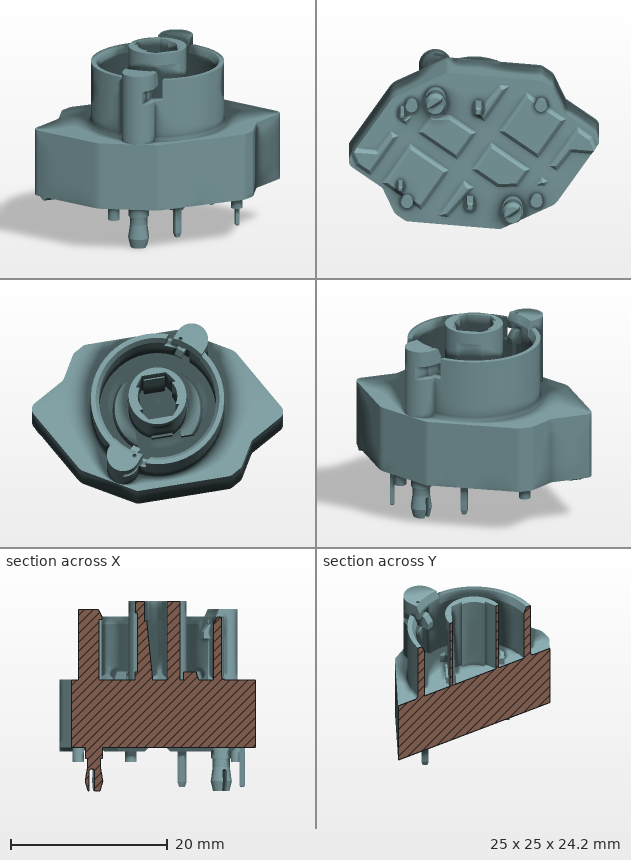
import cadquery as cq
import math

BODY_HALF = 12.5
SHOULDER_X = 10.65
FLAT_NEAR = 1.82
FLAT_FAR = 3.6
BEVEL_START_X = 0.25
BODY_HEIGHT = 8.7
EDGE_RADIUS = 1.0
BEVEL_RADIUS = 2.0
SKEW = 30.0

COLLAR_RADIUS = 8.5
COLLAR_BORE = 7.45
COLLAR_TOP = 16.7
LEAD_IN = 0.45
LEAD_IN_HEIGHT = 0.9
COLLAR_FILLET = 0.45

POST_X = 3.02
POST_Y = 8.12
POST_RADIUS = 2.1
POST_TOP = 17.7
POST_HOLE_DIAMETER = 0.5
POST_HOLE_DEPTH = 1.05
POST_HOLE_X = 4.0
POST_HOLE_Y = 7.08
WINDOW_OFFSET = 1.0
WINDOW_BOTTOM = 13.95
WINDOW_TOP = 15.7
RIM_NOTCH_WIDTH = 0.88
LATCH_TIP = 6.42
LATCH_SHOULDER = 7.1
LATCH_SIDES = (0.22, 1.22)
LATCH_DROP = 0.88
LATCH_GAP = 0.65
LATCH_SLOT_DEPTH = 0.5

TUBE_DIAMETER = 7.38
TUBE_TOP = 18.7
TUBE_BORE_RADIUS = 2.52
POCKET_INNER = (1.42, 2.08)
POCKET_PEAK = (1.5, 2.58)
POCKET_OUTER = (2.85, 1.58)
FLAT_DISTANCE = 3.32
FLAT_TOP = 17.2
FOOT_HALF_LENGTH = 3.62
FOOT_HALF_WIDTH = 1.35
CONTACT_HALF_WIDTH = 1.38
CONTACT_HEIGHT = 7.5
CONTACT_TOP_FACE = 2.7
CONTACT_FOOT_FACE = 2.32

ARC_INNER = 4.0
ARC_OUTER = 5.72
ARC_SLOPE = 0.28
ARC_HEIGHT = 1.0
ARC_LEFT = -4.2
ARC_RIGHT = 3.98
ARC_LEFT_BASE = 3.28
ARC_RIGHT_BASE = 2.4

PAD_HEIGHT = 0.5
PAD_SLOPE = 45.0
PAD_HALF_OUTLINE = [
    (-10.15, 0),
    (-10.15, -11.25),
    (-8.85, -13.5),
    (-7.0, -10.3),
    (-1.5, -10.0),
    (4.0, -2.75),
    (9.0, -2.25),
]
CENTRE_CHANNEL = 1.12
CLIP_CHANNEL = 0.88
PEG_DIAMETER = 1.5
PEG_LENGTH = 1.85
PEG_CENTRES = [(0.55, -10.1), (10.05, 3.4)]

CLIP_SHOULDER_DIAMETER = 2.6
CLIP_NECK_DIAMETER = 2.2
CLIP_BULGE_DIAMETER = 2.7
CLIP_TIP_DIAMETER = 2.1
CLIP_SHOULDER_Z = -1.4
CLIP_NECK_Z = -2.45
CLIP_BULGE_Z = -4.25
CLIP_TIP_Z = -5.5
SLIT_WIDTH = 0.6
SLIT_TOP_Z = -2.7
SLIT_ANGLE = 22.0

PIN_LENGTH = 5.0
POWER_PIN_RADIUS = 6.25
POWER_PIN_SIZE = (0.9, 0.8)
POWER_PIN_TIP = (0.15, 0.6)
SIGNAL_PIN_CENTRES = [(8.55, 5.5), (0.55, 10.8)]
SIGNAL_PIN_SIZE = (0.5, 0.5)
SIGNAL_PIN_TIP = (0.08, 0.15)

AXIS_Z = (0, 0, 1)
POST_DISTANCE = math.hypot(POST_X, POST_Y)
POWER_PIN_CENTRE = (
    POWER_PIN_RADIUS * math.cos(math.radians(SKEW)),
    -POWER_PIN_RADIUS * math.sin(math.radians(SKEW)),
)
POST_ANGLE = math.degrees(math.atan2(POST_Y, -POST_X))


def half_turn_pair(shape):
    """The shape and its copy turned half a turn about the Z axis."""
    return shape.union(shape.rotate((0, 0, 0), AXIS_Z, 180))


def block(x_range, y_range, z_range):
    """Box given by its limits along each axis."""
    size = [high - low for low, high in (x_range, y_range, z_range)]
    return cq.Workplane("XY").box(*size, centered=False).translate((x_range[0], y_range[0], z_range[0]))


def skewed(shape):
    """Turn a shape into line with the contacts."""
    return shape.rotate((0, 0, 0), AXIS_Z, -SKEW)


def at_post(shape):
    """Turn a shape so that its +X axis runs from the part axis through the post on the +Y side."""
    return shape.rotate((0, 0, 0), AXIS_Z, POST_ANGLE)


def body_block():
    steep = math.tan(math.radians(90 - SKEW))
    gentle = math.tan(math.radians(SKEW))
    notch_y = FLAT_FAR + steep * (BODY_HALF - SHOULDER_X)
    corner_x = (steep * BODY_HALF - FLAT_NEAR - BODY_HALF + gentle * BEVEL_START_X) / (steep - gentle)
    corner_y = FLAT_NEAR - steep * (BODY_HALF - corner_x)
    half_outline = [
        (-BEVEL_START_X, -BODY_HALF),
        (corner_x, corner_y),
        (BODY_HALF, FLAT_NEAR),
        (BODY_HALF, FLAT_FAR),
        (SHOULDER_X, notch_y),
        (SHOULDER_X, BODY_HALF),
    ]
    other_half = [(-x, -y) for x, y in half_outline]
    body = cq.Workplane("XY").polyline(half_outline + other_half).close().extrude(BODY_HEIGHT)
    reach = 0.12
    bevel_boxes = [
        cq.selectors.BoxSelector((x - reach, y - reach, 0), (x + reach, y + reach, BODY_HEIGHT))
        for x, y in (half_outline[0], other_half[0])
    ]
    bevel_edges = bevel_boxes[0] + bevel_boxes[1]
    upright = cq.selectors.ParallelDirSelector(cq.Vector(AXIS_Z))
    body = body.edges(upright - bevel_edges).fillet(EDGE_RADIUS)
    return body.edges(bevel_edges).fillet(BEVEL_RADIUS)


def funnel(bottom, top):
    """Cone that widens the collar bore by the lead-in between two heights."""
    profile = [(0, bottom), (COLLAR_BORE, bottom), (COLLAR_BORE + LEAD_IN, top), (0, top)]
    return cq.Workplane("XZ").polyline(profile).close().revolve(360, (0, 0), (0, 1))


def collar():
    wall = (
        cq.Workplane("XY", (0, 0, BODY_HEIGHT))
        .circle(COLLAR_RADIUS)
        .circle(COLLAR_BORE)
        .extrude(COLLAR_TOP - BODY_HEIGHT)
    )
    wall = wall.cut(funnel(COLLAR_TOP - LEAD_IN_HEIGHT, COLLAR_TOP))
    r = COLLAR_FILLET
    foot = (
        cq.Workplane("XZ")
        .moveTo(COLLAR_RADIUS - r, BODY_HEIGHT)
        .lineTo(COLLAR_RADIUS + r, BODY_HEIGHT)
        .radiusArc((COLLAR_RADIUS, BODY_HEIGHT + r), r)
        .lineTo(COLLAR_RADIUS - r, BODY_HEIGHT + r)
        .close()
        .revolve(360, (0, 0), (0, 1))
    )
    return wall.union(foot)


def post():
    """Post on the +Y side, with its lead-in and the blind hole in its top."""
    height = POST_TOP - BODY_HEIGHT
    shaft = cq.Workplane("XY", (POST_DISTANCE, 0, BODY_HEIGHT)).circle(POST_RADIUS).extrude(height)
    web = block((COLLAR_BORE - LEAD_IN, POST_DISTANCE), (-POST_RADIUS, POST_RADIUS), (BODY_HEIGHT, POST_TOP))
    shape = shaft.union(web)
    shape = shape.cut(cq.Workplane("XY", (0, 0, BODY_HEIGHT)).circle(COLLAR_BORE).extrude(height))
    shape = at_post(shape.cut(funnel(COLLAR_TOP, POST_TOP)))
    hole = (
        cq.Workplane("XY", (-POST_HOLE_X, POST_HOLE_Y, POST_TOP - POST_HOLE_DEPTH))
        .circle(POST_HOLE_DIAMETER / 2)
        .extrude(POST_HOLE_DEPTH)
    )
    return shape.cut(hole)


def post_openings():
    """Window through the flank of a post and the notch in the rim of the collar beside it."""
    reach = (COLLAR_BORE - 2 * LEAD_IN, POST_DISTANCE + POST_RADIUS)
    notch_end = POST_RADIUS + RIM_NOTCH_WIDTH
    window = block(reach, (WINDOW_OFFSET, notch_end), (WINDOW_BOTTOM, WINDOW_TOP))
    notch = block(reach, (POST_RADIUS, notch_end), (WINDOW_BOTTOM, COLLAR_TOP))
    return at_post(window.union(notch))


def latch():
    """Nose that points inward from a post, its top sloping down to the tip."""
    side_start, side_end = LATCH_SIDES
    profile = [
        (LATCH_TIP, WINDOW_BOTTOM),
        (COLLAR_RADIUS, WINDOW_BOTTOM),
        (COLLAR_RADIUS, WINDOW_TOP),
        (LATCH_SHOULDER, WINDOW_TOP),
        (LATCH_TIP, WINDOW_TOP - LATCH_DROP),
    ]
    nose = cq.Workplane("XZ").polyline(profile).close().extrude(side_start - side_end)
    return at_post(nose.translate((0, side_start, 0)))


def latch_slot():
    """Shallow upright slot in the bore wall around the latch."""
    return at_post(
        block(
            (LATCH_TIP, COLLAR_BORE + LATCH_SLOT_DEPTH),
            (LATCH_SIDES[0] - LATCH_GAP, LATCH_SIDES[1]),
            (BODY_HEIGHT, WINDOW_TOP + LATCH_GAP),
        )
    )


def tube_pocket():
    """One side pocket of the tube bore, on the +X side before skewing."""
    upper = [POCKET_INNER, POCKET_PEAK, POCKET_OUTER]
    lower = [(x, -y) for x, y in reversed(upper)]
    height = TUBE_TOP - BODY_HEIGHT
    return cq.Workplane("XY", (0, 0, BODY_HEIGHT)).polyline(upper + lower).close().extrude(height)


def tube_contact():
    """Contact on the outer wall of a side pocket, its face leaning toward the axis at the foot."""
    profile = [
        (POCKET_OUTER[0], BODY_HEIGHT),
        (CONTACT_FOOT_FACE, BODY_HEIGHT),
        (CONTACT_TOP_FACE, BODY_HEIGHT + CONTACT_HEIGHT),
        (POCKET_OUTER[0], BODY_HEIGHT + CONTACT_HEIGHT),
    ]
    return cq.Workplane("XZ").polyline(profile).close().extrude(CONTACT_HALF_WIDTH, both=True)


def centre_tube():
    tube = cq.Workplane("XY", (0, 0, BODY_HEIGHT)).circle(TUBE_DIAMETER / 2).extrude(TUBE_TOP - BODY_HEIGHT)
    radius = TUBE_DIAMETER / 2
    flat = block((FLAT_DISTANCE, radius), (-radius, radius), (BODY_HEIGHT, FLAT_TOP))
    feet = block(
        (-FOOT_HALF_LENGTH, FOOT_HALF_LENGTH),
        (-FOOT_HALF_WIDTH, FOOT_HALF_WIDTH),
        (BODY_HEIGHT, BODY_HEIGHT + ARC_HEIGHT),
    )
    bore = cq.Workplane("XY", (0, 0, BODY_HEIGHT)).circle(TUBE_BORE_RADIUS).extrude(TUBE_TOP - BODY_HEIGHT)
    tube = tube.cut(half_turn_pair(flat)).union(feet).cut(bore).cut(half_turn_pair(tube_pocket()))
    return skewed(tube.union(half_turn_pair(tube_contact())))


def arc_boss():
    """Curved boss on the collar floor, with a sloped outer side and angular ends."""
    top = BODY_HEIGHT + ARC_HEIGHT
    profile = [
        (ARC_INNER, BODY_HEIGHT),
        (ARC_OUTER, BODY_HEIGHT),
        (ARC_OUTER - ARC_SLOPE, top),
        (ARC_INNER, top),
    ]
    band = cq.Workplane("XZ").polyline(profile).close().revolve(360, (0, 0), (0, 1))
    heights = (BODY_HEIGHT, top)
    left_part = block((ARC_LEFT, 0), (ARC_LEFT_BASE, ARC_OUTER), heights)
    right_part = block((0, ARC_RIGHT), (ARC_RIGHT_BASE, ARC_OUTER), heights)
    return skewed(band.intersect(left_part.union(right_part)))


def channel(plane, half_width, offset):
    """Trapezoidal channel across the pads, widening downward; plane "YZ" runs along X, "XZ" along Y."""
    foot = half_width + PAD_HEIGHT
    profile = [
        (offset - half_width, 0),
        (offset + half_width, 0),
        (offset + foot, -PAD_HEIGHT),
        (offset - foot, -PAD_HEIGHT),
    ]
    return cq.Workplane(plane).polyline(profile).close().extrude(BODY_HALF, both=True)


def underside_pads(footprint):
    """Raised pads with sloped edges, kept inside the body footprint and split by channels."""
    other_half = [(-x, -y) for x, y in PAD_HALF_OUTLINE]
    outline = cq.Workplane("XY").polyline(PAD_HALF_OUTLINE + other_half).close()
    pads = outline.extrude(-PAD_HEIGHT, taper=PAD_SLOPE).intersect(footprint.translate((0, 0, -PAD_HEIGHT)))
    pads = pads.cut(channel("YZ", CENTRE_CHANNEL, 0))
    for side in (-1, 1):
        pads = pads.cut(channel("YZ", CLIP_CHANNEL, side * POST_Y))
        pads = pads.cut(channel("XZ", CLIP_CHANNEL, side * POST_X))
    return pads


def peg(centre):
    return cq.Workplane("XY").center(*centre).circle(PEG_DIAMETER / 2).extrude(-PEG_LENGTH)


def snap_clip(centre):
    """Barbed snap clip, slit from its tip so that it can flex."""
    profile = [
        (0, 0),
        (CLIP_SHOULDER_DIAMETER / 2, 0),
        (CLIP_SHOULDER_DIAMETER / 2, CLIP_SHOULDER_Z),
        (CLIP_NECK_DIAMETER / 2, CLIP_SHOULDER_Z),
        (CLIP_NECK_DIAMETER / 2, CLIP_NECK_Z),
        (CLIP_BULGE_DIAMETER / 2, CLIP_BULGE_Z),
        (CLIP_TIP_DIAMETER / 2, CLIP_TIP_Z),
        (0, CLIP_TIP_Z),
    ]
    clip = cq.Workplane("XZ").polyline(profile).close().revolve(360, (0, 0), (0, 1))
    half_slit = SLIT_WIDTH / 2
    slit = (
        cq.Workplane("YZ")
        .moveTo(-half_slit, CLIP_TIP_Z)
        .lineTo(-half_slit, SLIT_TOP_Z - half_slit)
        .threePointArc((0, SLIT_TOP_Z), (half_slit, SLIT_TOP_Z - half_slit))
        .lineTo(half_slit, CLIP_TIP_Z)
        .close()
        .extrude(CLIP_BULGE_DIAMETER, both=True)
        .rotate((0, 0, 0), AXIS_Z, SLIT_ANGLE)
    )
    return clip.cut(slit).translate((*centre, 0))


def contact_pin(centre, size, tip):
    """Skewed rectangular pin whose tip tapers on all four sides."""
    inset, tip_height = tip
    width, depth = size
    shank = PIN_LENGTH - tip_height
    pin = cq.Workplane("XY").rect(width, depth).extrude(-shank)
    tapered = (
        cq.Workplane("XY", (0, 0, -shank))
        .rect(width, depth)
        .workplane(offset=-tip_height)
        .rect(width - 2 * inset, depth - 2 * inset)
        .loft(ruled=True)
    )
    return skewed(pin.union(tapered)).translate((*centre, 0))


body = body_block()
upper_parts = collar().union(half_turn_pair(post()))
upper_parts = upper_parts.cut(half_turn_pair(post_openings())).cut(half_turn_pair(latch_slot()))
upper_parts = upper_parts.union(half_turn_pair(latch()))
result = body.union(upper_parts).union(centre_tube()).union(half_turn_pair(arc_boss()))
result = result.union(underside_pads(body))

for peg_centre in PEG_CENTRES:
    result = result.union(half_turn_pair(peg(peg_centre)))

result = result.union(half_turn_pair(contact_pin(POWER_PIN_CENTRE, POWER_PIN_SIZE, POWER_PIN_TIP)))

for side in (-1, 1):
    result = result.union(snap_clip((side * POST_X, -side * POST_Y)))

for signal_centre in SIGNAL_PIN_CENTRES:
    result = result.union(contact_pin(signal_centre, SIGNAL_PIN_SIZE, SIGNAL_PIN_TIP))